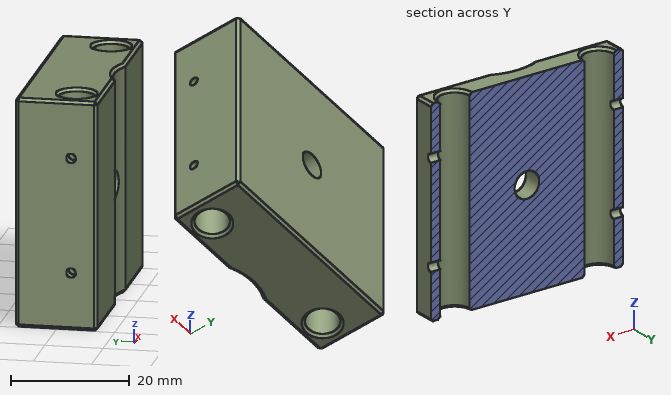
import cadquery as cq

width = 40.0
depth = 14.0
height = 40.0
edge_chamfer = 0.5

groove_width = 9.2
groove_depth = 1.0
groove_radius = ((groove_width / 2) ** 2 + groove_depth**2) / (2 * groove_depth)

bore_diameter = 6.0
bore_spacing = 30.0
bore_setback = 4.5
bore_chamfer = 0.5

cross_hole_diameter = 5.0

side_hole_diameter = 1.6
side_hole_spacing = 20.0

front_y = -depth / 2
bore_y = front_y + bore_setback
bore_x = bore_spacing / 2


def cylinder_along_z(diameter, x, y):
    return cq.Workplane("XY").center(x, y).circle(diameter / 2).extrude(height / 2, both=True)


def grooved_block():
    """Block with the groove cut and all its outer edges chamfered."""
    block = cq.Workplane("XY").box(width, depth, height)
    groove_y = front_y + groove_depth - groove_radius
    block = block.cut(cylinder_along_z(2 * groove_radius, 0, groove_y))
    outer_edges = block.edges("|X or |Y or %CIRCLE").add(block.edges("|Z and (<X or >X)"))
    return outer_edges.chamfer(edge_chamfer)


def bore(x):
    """Through bore widened by a chamfer at both ends."""
    core = cylinder_along_z(bore_diameter, x, bore_y)
    mouth = (
        cq.Workplane("XY", origin=(x, bore_y, height / 2))
        .circle(bore_diameter / 2 + bore_chamfer)
        .workplane(offset=-bore_chamfer)
        .circle(bore_diameter / 2)
        .loft()
    )
    return core.union(mouth).union(mouth.mirror("XY"))


def side_hole(side, z):
    """Small hole from a side face to the axis of the bore beside it."""
    start = cq.Workplane("YZ", origin=(side * bore_x, bore_y, z))
    return start.circle(side_hole_diameter / 2).extrude(side * (width / 2 - bore_x))


result = grooved_block()

cross_hole = cq.Workplane("XZ").circle(cross_hole_diameter / 2).extrude(depth / 2, both=True)
result = result.cut(cross_hole)

for side in (-1, 1):
    result = result.cut(bore(side * bore_x))
    for z in (-side_hole_spacing / 2, side_hole_spacing / 2):
        result = result.cut(side_hole(side, z))